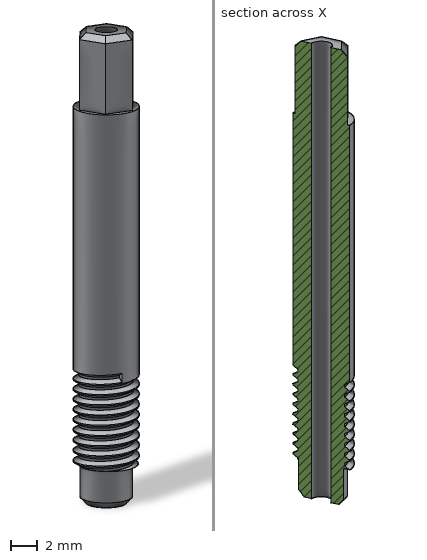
import cadquery as cq
import math

total_length = 37.0
shaft_diameter = 5.0
bore_diameter = 1.65

hex_across_flats = 4.0
hex_length = 6.0
hex_chamfer = 0.48

tip_diameter = 4.0
tip_length = 3.0
tip_chamfer_width = 0.48
tip_chamfer_height = 0.5

groove_length = 8.0
thread_turns = 10
thread_pitch = groove_length / thread_turns
thread_end_height = 10.35
crest_width = thread_pitch / 8
root_width = thread_pitch / 4
flank_slope = math.tan(math.radians(30))
cutter_overshoot = 0.005

shaft_radius = shaft_diameter / 2
groove_width = thread_pitch - crest_width
root_radius = shaft_radius - (groove_width - root_width) / (2 * flank_slope)
thread_start_height = thread_end_height - groove_length
shoulder_height = total_length - hex_length


def make_tip():
    """Cylindrical pilot with a conical lead-in at its lower end."""
    radius = tip_diameter / 2
    profile = (
        cq.Workplane("XZ")
        .lineTo(radius - tip_chamfer_width, 0)
        .lineTo(radius, tip_chamfer_height)
        .lineTo(radius, tip_length)
        .lineTo(0, tip_length)
        .close()
    )
    return profile.revolve(360, (0, 0, 0), (0, 1, 0))


def make_shaft():
    """Plain cylinder from the pilot to the hexagon shoulder."""
    return (
        cq.Workplane("XY")
        .workplane(offset=tip_length)
        .circle(shaft_radius)
        .extrude(shoulder_height - tip_length)
    )


def make_hex_drive():
    """Hexagon with two flats square to X and a chamfered top."""
    across_corners = hex_across_flats / math.cos(math.radians(30))
    return (
        cq.Workplane("XY")
        .workplane(offset=shoulder_height)
        .transformed(rotate=(0, 0, 30))
        .polygon(6, across_corners)
        .extrude(hex_length)
        .faces(">Z")
        .chamfer(hex_chamfer)
    )


def make_thread_groove():
    """Helical trapezoidal cutter that starts and ends on the +X side."""
    outer_radius = shaft_radius + cutter_overshoot
    outer_half_width = groove_width / 2 + cutter_overshoot * flank_slope
    root_half_width = root_width / 2
    helix = cq.Wire.makeHelix(
        thread_pitch, groove_length, shaft_radius
    ).translate(cq.Vector(0, 0, thread_start_height))
    profile = (
        cq.Workplane("XZ")
        .center(0, thread_start_height)
        .moveTo(root_radius, -root_half_width)
        .lineTo(outer_radius, -outer_half_width)
        .lineTo(outer_radius, outer_half_width)
        .lineTo(root_radius, root_half_width)
        .close()
    )
    return profile.sweep(cq.Workplane(obj=helix), isFrenet=True)


def make_bore():
    """Hole through the full length."""
    return cq.Workplane("XY").circle(bore_diameter / 2).extrude(total_length)


threaded_shaft = make_shaft().cut(make_thread_groove())
result = threaded_shaft.union(make_tip()).union(make_hex_drive()).cut(make_bore())